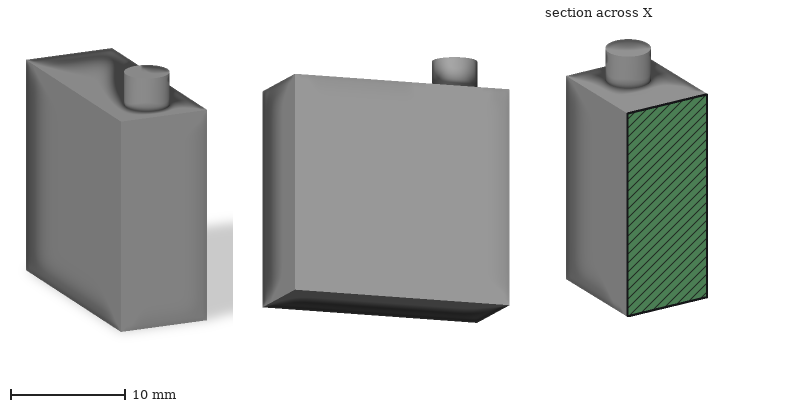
import cadquery as cq

body_length = 20.0
body_width = 8.3
total_height = 22.3

pin_diameter = 4.0
pin_height = 3.0
pin_to_right_side = 3.61

body_height = total_height - pin_height
pin_x = body_length / 2 - pin_to_right_side

body = cq.Workplane("XY").box(body_length, body_width, body_height, centered=(True, True, False))

pin = (
    cq.Workplane("XY", origin=(pin_x, 0, body_height))
    .circle(pin_diameter / 2)
    .extrude(pin_height)
)

result = body.union(pin)